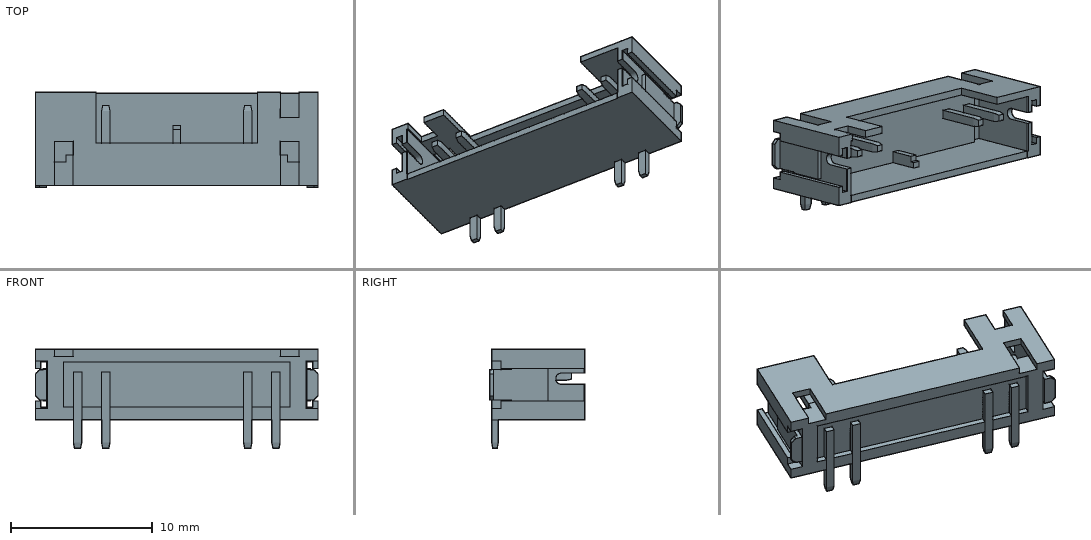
import cadquery as cq


LENGTH = 19.95
DEPTH = 6.58
HEIGHT = 4.99
HALF_LENGTH = LENGTH / 2
PLATE = 0.5

CAVITY_HALF_WIDTH = 8.72
CAVITY_FRONT = 2.15
CORNER_HALF_WIDTH = 7.82
CORNER_FRONT = 1.68
FLOOR_SETBACK = 0.05

MIDDLE_OPENING_WIDTH = 11.37
MIDDLE_OPENING_FRONT = 3.0
NOTCH_X = 7.98
NOTCH_WIDTH = 1.32
FRONT_NOTCH_LENGTH = 3.11
REAR_NOTCH_LENGTH = 1.8

WINDOW_WIDTH = 15.96
WINDOW_BOTTOM = 0.9
WINDOW_HEIGHT = 3.2
WINDOW_DEPTH = 0.4

CHANNEL_MIDDLE_Z = 2.5
CLIP_MIDDLE_Z = 2.47
CHANNEL_FLOOR_X = 9.18
LIP_INNER_X = 9.6
CHANNEL_HEIGHT = 3.2
LIP_GAP = 2.27
POCKET_DEPTH = 0.65
POCKET_HEIGHT = 3.37
POCKET_INNER_X = 9.12
WALL_END_CHAMFER = 0.05

SLOT_WIDTH = 0.78
SLOT_MIDDLE_Z = 2.91
SLOT_END_Y = 4.53

RIB_WIDTH = 0.54
RIB_UPPER_END = 3.95
RIB_LOWER_END = 4.25
RIB_LOWER_HEIGHT = 0.4
RIB_UPPER_HEIGHT = 0.8

PIN_POSITIONS = (-7.0, -5.0, 5.0, 7.0)
PIN_WIDTH = 0.6
LEG_THICKNESS = 0.48
PIN_TOP = 3.4
LEG_BOTTOM = -2.01
PIN_REACH = 5.65
TIP_LENGTH = 0.4
TIP_INSET = 0.08

CLIP_THICKNESS = 0.28
CLIP_FRONT = -0.14
CLIP_REAR = 3.97
CLIP_WIDE_START = 1.42
CLIP_NARROW_HEIGHT = 2.15
TAB_CHAMFER = 0.3


def block(x_range, y_range, z_range):
    """Box spanning the given limits along X, Y and Z."""
    limits = (x_range, y_range, z_range)
    sizes = [high - low for low, high in limits]
    corner = tuple(low for low, high in limits)
    return cq.Workplane("XY").box(*sizes, centered=False).translate(corner)


def about(middle, size):
    """Limits of a span of the given size around its middle."""
    return (middle - size / 2, middle + size / 2)


def tapered_tip(base_plane, across, thick):
    """Pin tip that narrows by the same inset on all four sides."""
    return (
        base_plane.rect(across, thick)
        .workplane(offset=TIP_LENGTH)
        .rect(across - 2 * TIP_INSET, thick - 2 * TIP_INSET)
        .loft(ruled=True)
    )


def make_pin(x):
    """Angled pin: a leg down to the board and an arm into the cavity."""
    span = about(x, PIN_WIDTH)
    leg_end = LEG_BOTTOM + TIP_LENGTH
    arm_end = PIN_REACH - TIP_LENGTH
    leg = block(span, (0, LEG_THICKNESS), (leg_end, PIN_TOP))
    arm = block(span, (0, arm_end), (PIN_TOP - PIN_WIDTH, PIN_TOP))
    leg_plane = cq.Workplane(cq.Plane((x, LEG_THICKNESS / 2, leg_end), (1, 0, 0), (0, 0, -1)))
    arm_plane = cq.Workplane(cq.Plane((x, arm_end, PIN_TOP - PIN_WIDTH / 2), (1, 0, 0), (0, 1, 0)))
    leg_tip = tapered_tip(leg_plane, PIN_WIDTH, LEG_THICKNESS)
    arm_tip = tapered_tip(arm_plane, PIN_WIDTH, PIN_WIDTH)
    return leg.union(arm).union(leg_tip).union(arm_tip)


def make_left_clip():
    """Strip lying in the channel, with a bent tab in front of the end pocket."""
    strip_x = (-CHANNEL_FLOOR_X - CLIP_THICKNESS, -CHANNEL_FLOOR_X)
    narrow_z = about(CLIP_MIDDLE_Z, CLIP_NARROW_HEIGHT)
    narrow = block(strip_x, (CLIP_FRONT, CLIP_WIDE_START), narrow_z)
    wide = block(strip_x, (CLIP_WIDE_START, CLIP_REAR), about(CLIP_MIDDLE_Z, LIP_GAP))
    tab_y = (CLIP_FRONT, CLIP_FRONT + CLIP_THICKNESS)
    tab = block((-HALF_LENGTH, -CHANNEL_FLOOR_X), tab_y, narrow_z)
    tab = tab.edges("<X and |Y").chamfer(TAB_CHAMFER)
    return narrow.union(wide).union(tab)


def cavity():
    """Mating cavity, a little deeper toward the board in its two corners."""
    levels = (PLATE, HEIGHT - PLATE)
    middle = block((-CORNER_HALF_WIDTH, CORNER_HALF_WIDTH), (CAVITY_FRONT, DEPTH), levels)
    left = block((-CAVITY_HALF_WIDTH, -CORNER_HALF_WIDTH), (CORNER_FRONT, DEPTH), levels)
    return middle.union(left).union(left.mirror("YZ"))


def ceiling_openings():
    """Middle opening, two board-side notches and one rear notch."""
    levels = (HEIGHT - PLATE, HEIGHT)
    cut = block(about(0, MIDDLE_OPENING_WIDTH), (MIDDLE_OPENING_FRONT, DEPTH), levels)
    for x in (-NOTCH_X, NOTCH_X):
        cut = cut.union(block(about(x, NOTCH_WIDTH), (0, FRONT_NOTCH_LENGTH), levels))
    rear_notch = block(about(NOTCH_X, NOTCH_WIDTH), (DEPTH - REAR_NOTCH_LENGTH, DEPTH), levels)
    return cut.union(rear_notch)


def left_clip_channel():
    """Channel behind two lips, with a wider pocket at the board-side end."""
    inside = block(
        (-LIP_INNER_X, -CHANNEL_FLOOR_X), (0, DEPTH), about(CHANNEL_MIDDLE_Z, CHANNEL_HEIGHT)
    )
    gap = block((-HALF_LENGTH, -CHANNEL_FLOOR_X), (0, DEPTH), about(CLIP_MIDDLE_Z, LIP_GAP))
    pocket = block(
        (-HALF_LENGTH, -POCKET_INNER_X), (0, POCKET_DEPTH), about(CLIP_MIDDLE_Z, POCKET_HEIGHT)
    )
    return inside.union(gap).union(pocket)


def wall_end_bevel(x, into_wall, levels):
    """Bevel at the open end of a wall face; into_wall is +1 or -1 along X."""
    bottom, top = levels
    return (
        cq.Workplane("XY", origin=(0, 0, bottom))
        .moveTo(x, DEPTH)
        .lineTo(x + into_wall * WALL_END_CHAMFER, DEPTH)
        .lineTo(x, DEPTH - WALL_END_CHAMFER)
        .close()
        .extrude(top - bottom)
    )


def left_wall_end_bevels():
    """Bevels on both vertical edges at the open end of the left end wall."""
    outer = wall_end_bevel(-CHANNEL_FLOOR_X, 1, about(CHANNEL_MIDDLE_Z, CHANNEL_HEIGHT))
    inner = wall_end_bevel(-CAVITY_HALF_WIDTH, -1, (PLATE, HEIGHT - PLATE))
    return outer.union(inner)


def end_wall_slots():
    """Slot with a rounded inner end, through both end walls."""
    radius = SLOT_WIDTH / 2
    return (
        cq.Workplane("YZ", origin=(-HALF_LENGTH, 0, 0))
        .moveTo(DEPTH, SLOT_MIDDLE_Z - radius)
        .lineTo(SLOT_END_Y + radius, SLOT_MIDDLE_Z - radius)
        .threePointArc((SLOT_END_Y, SLOT_MIDDLE_Z), (SLOT_END_Y + radius, SLOT_MIDDLE_Z + radius))
        .lineTo(DEPTH, SLOT_MIDDLE_Z + radius)
        .close()
        .extrude(LENGTH)
    )


def floor_rib():
    """Rib in the middle of the floor, lower at its free end."""
    span = about(0, RIB_WIDTH)
    low = block(span, (CAVITY_FRONT, RIB_LOWER_END), (PLATE, PLATE + RIB_LOWER_HEIGHT))
    high = block(span, (CAVITY_FRONT, RIB_UPPER_END), (PLATE, PLATE + RIB_UPPER_HEIGHT))
    return low.union(high)


def make_housing(pin_solids):
    """Shell with its openings and a fitting passage for each pin."""
    body = block((-HALF_LENGTH, HALF_LENGTH), (0, DEPTH), (0, HEIGHT))
    body = body.cut(cavity()).cut(ceiling_openings())
    floor_span = (-CAVITY_HALF_WIDTH, CAVITY_HALF_WIDTH)
    body = body.cut(block(floor_span, (DEPTH - FLOOR_SETBACK, DEPTH), (0, PLATE)))
    window_z = (WINDOW_BOTTOM, WINDOW_BOTTOM + WINDOW_HEIGHT)
    body = body.cut(block(about(0, WINDOW_WIDTH), (0, WINDOW_DEPTH), window_z))
    body = body.union(floor_rib())
    for left_cut in (left_clip_channel(), left_wall_end_bevels()):
        body = body.cut(left_cut).cut(left_cut.mirror("YZ"))
    body = body.cut(end_wall_slots())
    for solid in pin_solids:
        body = body.cut(solid)
    return body


pins = [make_pin(x) for x in PIN_POSITIONS]
left_clip = make_left_clip()
right_clip = left_clip.mirror("YZ")
housing = make_housing(pins)

result = cq.Compound.makeCompound(
    [housing.val(), left_clip.val(), right_clip.val(), *[pin.val() for pin in pins]]
)